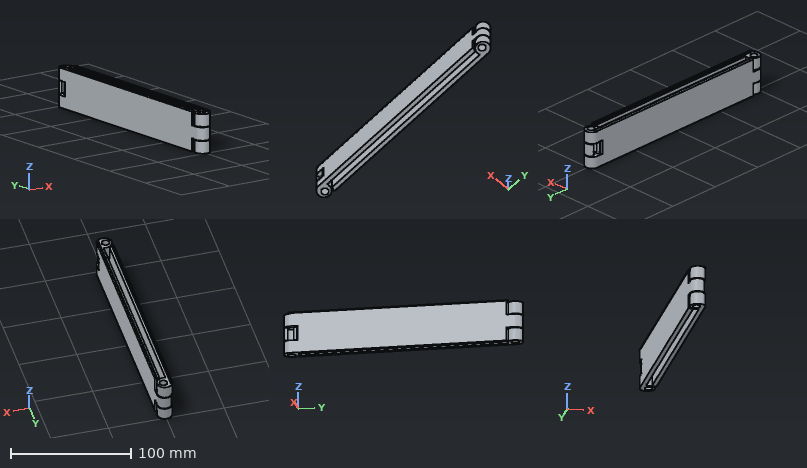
import cadquery as cq
import math

axis_y = 95.0
knuckle_radius = 6.445
bore_radius = 6.45 / 2
bore_offset = 1.1
leaf_height = 34.0
leaf_shift = 0.085

plate_thickness = 4.1
plate_outer_x = -knuckle_radius
plate_inner_x = plate_outer_x + plate_thickness
plate_middle_x = (plate_outer_x + plate_inner_x) / 2

relief_radius = knuckle_radius + 1.0
relief_start_y = 88.65
bevel_depth = 1.2

outer_knuckle_height = 10.8
knuckle_gap = 0.6
upper_knuckle_bottom = leaf_height - outer_knuckle_height
notch_height = upper_knuckle_bottom - outer_knuckle_height
center_bottom = outer_knuckle_height + knuckle_gap
center_height = leaf_height - 2 * center_bottom
center_top = center_bottom + center_height

mouth_width = 4.9
mouth_edge_radius = 1.1

lip_height = 1.6
lip_top = leaf_height + lip_height
lip_thickness = 1.75
lip_chamfer = 1.2
lip_overrun = 1.9


def plane_at(z):
    return cq.Workplane("XY").workplane(offset=z)


def plate():
    return plane_at(0).center(plate_middle_x, 0).rect(plate_thickness, 2 * axis_y).extrude(leaf_height)


def knuckle(z, height):
    """Round knuckle on the +Y axis, filled square towards the plate."""
    barrel = plane_at(z).center(0, axis_y).circle(knuckle_radius).extrude(height)
    web = (
        plane_at(z)
        .center(-knuckle_radius / 2, axis_y - knuckle_radius / 2)
        .rect(knuckle_radius, knuckle_radius)
        .extrude(height)
    )
    return barrel.union(web)


def bore(z, height):
    return plane_at(z).center(bore_offset, axis_y).circle(bore_radius).extrude(height)


def snap_mouth():
    """Slot from the bore to the free side of the centre knuckle."""
    return (
        plane_at(center_bottom)
        .center(bore_offset + knuckle_radius / 2, axis_y)
        .rect(knuckle_radius, mouth_width)
        .extrude(center_height)
    )


def snap_knuckle():
    """Centre knuckle, open on the free side with rounded outer mouth edges."""
    barrel = knuckle(center_bottom, center_height).cut(snap_mouth())
    edge_x = math.sqrt(knuckle_radius ** 2 - (mouth_width / 2) ** 2)
    selection_margin = 0.1
    mouth_edges = cq.selectors.BoxSelector(
        (edge_x - selection_margin, axis_y - knuckle_radius, 0),
        (edge_x + selection_margin, axis_y + knuckle_radius, leaf_height),
    )
    barrel = barrel.edges("|Z").edges(mouth_edges).fillet(mouth_edge_radius)
    return barrel.cut(bore(center_bottom, center_height))


def end_relief(z, height):
    """Clearance at the +Y end of the plate: a bevelled outer edge, then an arc around the knuckle axis."""
    def arc_y(x):
        return axis_y - math.sqrt(relief_radius ** 2 - x ** 2)

    tip_x = plate_outer_x + bevel_depth
    far_y = axis_y + knuckle_radius
    return (
        plane_at(z)
        .moveTo(plate_outer_x, relief_start_y)
        .lineTo(tip_x, arc_y(tip_x))
        .threePointArc((plate_middle_x, arc_y(plate_middle_x)), (plate_inner_x, arc_y(plate_inner_x)))
        .lineTo(plate_inner_x, far_y)
        .lineTo(plate_outer_x, far_y)
        .close()
        .extrude(height)
    )


def lip():
    inner_x = plate_outer_x + lip_thickness
    y_end = axis_y + lip_overrun
    return (
        cq.Workplane("XZ", origin=(0, y_end, 0))
        .moveTo(plate_outer_x, leaf_height)
        .lineTo(plate_outer_x, lip_top - lip_chamfer)
        .lineTo(plate_outer_x + lip_chamfer, lip_top)
        .lineTo(inner_x, lip_top)
        .lineTo(inner_x, leaf_height)
        .close()
        .extrude(y_end + axis_y)
    )


def leaf():
    """Leaf on the -X side: two bored knuckles at the +Y end and the snap knuckle at the -Y end."""
    body = plate().union(lip())
    body = body.cut(end_relief(outer_knuckle_height, notch_height))
    for z_start, z_end in ((0, center_bottom), (center_top, lip_top)):
        body = body.cut(end_relief(z_start, z_end - z_start).mirror("XZ"))
    for z in (0, upper_knuckle_bottom):
        body = body.union(knuckle(z, outer_knuckle_height)).cut(bore(z, outer_knuckle_height))
    body = body.union(snap_knuckle().mirror("XZ"))
    return body.translate((-leaf_shift, 0, 0))


leaves = [leaf().rotate((0, 0, 0), (0, 0, 1), turn) for turn in (0, 180)]

result = cq.Compound.makeCompound([body.val() for body in leaves])